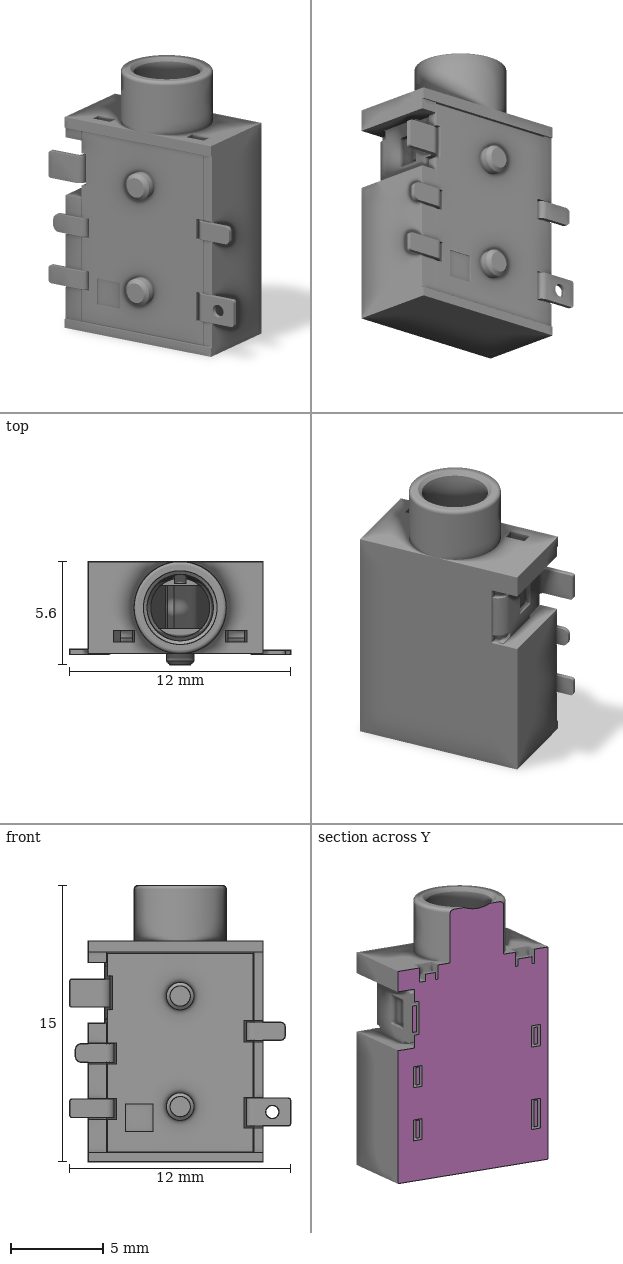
import cadquery as cq
import math


LEFT_X = -5.0
RIGHT_X = 4.5
BACK_Y = 2.5
FLANGE_Y = -2.5
FACE_Y = -2.4
HOUSING_TOP_Z = 12.0
TOP_FLANGE_Z = 11.4
BOTTOM_FLANGE_Z = 0.5

COVER_HALF_WIDTH = 3.95
COVER_BOTTOM_Z = 0.55
COVER_TOP_Z = 11.32
GROOVE_HALF_WIDTH = 4.0
GROOVE_DEPTH = 0.1
MARK_SIZE = 1.5
MARK_CENTER_X = -2.22
MARK_CENTER_Z = 2.4
MARK_DEPTH = 0.05

POST_RADIUS = 0.75
POST_TIP_Y = -3.1
POST_CHAMFER = 0.2
POST_HEIGHTS = (3.0, 9.0)

BARREL_RADIUS = 2.5
BARREL_TOP_Z = 15.0
BARREL_FILLET = 0.2
BORE_RADIUS = 1.8
BORE_CHAMFER = 0.2
BORE_END_Z = 10.9
BORE_END_RADIUS = 1.6
BORE_TAPER_Z = 11.6
CHAMBER_LEFT_X = -1.67
CHAMBER_RIGHT_X = 1.8
CHAMBER_FRONT_Y = -1.14
CHAMBER_BACK_Y = 1.2
CHAMBER_FLOOR_Z = 1.0
KEYWAY_WIDTH = 0.64
KEYWAY_FRONT_Y = 1.32
KEYWAY_END_Z = 9.0

CONTACT_PLATEAU_LEFT_X = -0.81
CONTACT_PLATEAU_RIGHT_X = 0.36
CONTACT_PLATEAU_Z = 4.0
CONTACT_RIB_LEFT_X = -0.69
CONTACT_RIB_RIGHT_X = -0.34
CONTACT_RIB_HEIGHT = 0.2
CONTACT_RAMP_X = 0.92
CONTACT_RAMP_ANGLE = math.radians(75)

WINDOW_CENTER_X = 3.04
WINDOW_WIDTH = 1.14
WINDOW_BACK_Y = -1.24
WINDOW_FRONT_Y = -1.86
WINDOW_DEPTH = 0.8
LEFT_PEG_RANGE = (-3.25, -2.6)
RIGHT_PEG_RANGE = (2.58, 3.5)
PEG_HEIGHT = 0.4
PEG_SLOPE_LENGTH = 0.4
PEG_SLOPE_DROP = 0.2

TERMINAL_FACE_Y = -2.55
TERMINAL_THICKNESS = 0.25
TERMINAL_LEG_X = 3.6
TERMINAL_BEND_RADIUS = 0.4
SLOT_INNER_X = 3.47
SLOT_FLOOR_Y = -1.5
HOLE_X = 5.0
HOLE_DIAMETER = 0.7
HOLED_TERMINAL = dict(side=1, tip=6.0, tip_radius=0.15, tab_z=(1.95, 3.47), slot_z=(1.85, 3.5))
TERMINALS = (
    dict(side=-1, tip=5.7, tip_radius=0.35, tab_z=(5.4, 6.42), slot_z=(5.3, 6.45)),
    dict(side=-1, tip=6.0, tip_radius=0.15, tab_z=(2.4, 3.42), slot_z=(2.3, 3.45)),
    dict(side=1, tip=5.7, tip_radius=0.25, tab_z=(6.6, 7.58), slot_z=(6.5, 7.67)),
    HOLED_TERMINAL,
)

NOTCH_BOTTOM_Z = 7.53
NOTCH_TOP_Z = 10.82
PLATE_X = -4.1
PLATE_THICKNESS = 0.3
PLATE_WIDE_Y = -0.92
PLATE_FRONT_Y = -1.67
PLATE_STEP = 0.19
PLATE_CORNER = 0.12
PLATE_BEND_RADIUS = 0.67
PLATE_BEND_Y = 1.69
PLATE_BEND_BOTTOM_Z = 7.95
PLATE_BEND_TOP_Z = 10.28
RELIEF_Y = 1.53
RELIEF_CORNER = 0.17
CORE_X = -3.95
CORE_BACK_Y = 2.02
CORE_RADIUS = 0.48
RELIEF_SILL = 0.06
COVER_EDGE_Y = -1.78

TAB_TIP_X = -6.0
TAB_BOTTOM_Z = 8.4
TAB_TOP_Z = 9.92
TAB_BEND_RADIUS = 0.5
TAB_CORNER = 0.12
TAB_SLOT_X = -3.67
TAB_SLOT_BOTTOM_Z = 8.26
TAB_SLOT_TOP_Z = 10.1

PLATE_WINDOW_FRONT_Y = -0.93
PLATE_WINDOW_BACK_Y = 0.34
PLATE_WINDOW_BOTTOM_Z = 8.36
PLATE_WINDOW_TOP_Z = 10.03
PLATE_WINDOW_CORNER = 0.1
PLATE_WINDOW_DEPTH = 0.3
CATCH_FRONT_Y = -0.88
CATCH_CREST_Y = -0.56
CATCH_BACK_Y = -0.2
CATCH_BOTTOM_Z = 8.6
CATCH_TOP_Z = 9.77
CATCH_HEIGHT = 0.1


def box(x_range, y_range, z_range):
    """Box between the given limits."""
    sizes = [limits[1] - limits[0] for limits in (x_range, y_range, z_range)]
    corner = (x_range[0], y_range[0], z_range[0])
    return cq.Workplane("XY").box(*sizes, centered=False).translate(corner)


def make_housing():
    body = box((LEFT_X, RIGHT_X), (FLANGE_Y, BACK_Y), (0, HOUSING_TOP_Z))
    face_step = box((LEFT_X, RIGHT_X), (FLANGE_Y, FACE_Y), (BOTTOM_FLANGE_Z, TOP_FLANGE_Z))
    return body.cut(face_step)


def make_cover_groove():
    y_range = (FACE_Y, FACE_Y + GROOVE_DEPTH)
    outer = box((-GROOVE_HALF_WIDTH, GROOVE_HALF_WIDTH), y_range, (BOTTOM_FLANGE_Z, TOP_FLANGE_Z))
    inner = box((-COVER_HALF_WIDTH, COVER_HALF_WIDTH), y_range, (COVER_BOTTOM_Z, COVER_TOP_Z))
    return outer.cut(inner)


def make_mark_recess():
    half = MARK_SIZE / 2
    return box(
        (MARK_CENTER_X - half, MARK_CENTER_X + half),
        (FACE_Y, FACE_Y + MARK_DEPTH),
        (MARK_CENTER_Z - half, MARK_CENTER_Z + half),
    )


def make_post(z):
    root_y = FACE_Y + GROOVE_DEPTH
    post = cq.Workplane("XZ").center(0, z).circle(POST_RADIUS).extrude(root_y - POST_TIP_Y)
    return post.faces("<Y").chamfer(POST_CHAMFER).translate((0, root_y, 0))


def make_barrel():
    height = BARREL_TOP_Z - HOUSING_TOP_Z
    barrel = cq.Workplane("XY").workplane(offset=HOUSING_TOP_Z).circle(BARREL_RADIUS).extrude(height)
    return barrel.faces(">Z").edges().fillet(BARREL_FILLET)


def make_plug_cavity():
    """Chamfered and tapered bore, keyway and the chamber below."""
    mouth_radius = BORE_RADIUS + BORE_CHAMFER
    profile = [
        (0, BORE_END_Z),
        (BORE_END_RADIUS, BORE_END_Z),
        (BORE_RADIUS, BORE_TAPER_Z),
        (BORE_RADIUS, BARREL_TOP_Z - BORE_CHAMFER),
        (mouth_radius, BARREL_TOP_Z),
        (0, BARREL_TOP_Z),
    ]
    bore = cq.Workplane("XZ").polyline(profile).close().revolve(360, (0, 0), (0, 1))
    chamber = box(
        (CHAMBER_LEFT_X, CHAMBER_RIGHT_X),
        (CHAMBER_FRONT_Y, CHAMBER_BACK_Y),
        (CHAMBER_FLOOR_Z, BORE_END_Z),
    )
    keyway = box(
        (-KEYWAY_WIDTH / 2, KEYWAY_WIDTH / 2),
        (KEYWAY_FRONT_Y, BORE_RADIUS),
        (KEYWAY_END_Z, BORE_TAPER_Z),
    )
    return bore.union(chamber).union(keyway)


def make_contact_spring():
    """Steep rise on the left, a ribbed level middle and a hollow bend into a steep ramp on the right."""
    bend_radius = (CONTACT_RAMP_X - CONTACT_PLATEAU_RIGHT_X) / math.sin(CONTACT_RAMP_ANGLE)
    half_angle = CONTACT_RAMP_ANGLE / 2
    bend_middle = (
        CONTACT_PLATEAU_RIGHT_X + bend_radius * math.sin(half_angle),
        CONTACT_PLATEAU_Z + bend_radius * (1 - math.cos(half_angle)),
    )
    ramp_z = CONTACT_PLATEAU_Z + bend_radius * (1 - math.cos(CONTACT_RAMP_ANGLE))
    ramp_rise = (CHAMBER_RIGHT_X - CONTACT_RAMP_X) * math.tan(CONTACT_RAMP_ANGLE)
    rib_z = CONTACT_PLATEAU_Z + CONTACT_RIB_HEIGHT
    sketch = (
        cq.Workplane("XZ")
        .moveTo(CHAMBER_LEFT_X, CHAMBER_FLOOR_Z)
        .lineTo(CONTACT_PLATEAU_LEFT_X, CONTACT_PLATEAU_Z)
        .lineTo(CONTACT_RIB_LEFT_X, CONTACT_PLATEAU_Z)
        .lineTo(CONTACT_RIB_LEFT_X, rib_z)
        .lineTo(CONTACT_RIB_RIGHT_X, rib_z)
        .lineTo(CONTACT_RIB_RIGHT_X, CONTACT_PLATEAU_Z)
        .lineTo(CONTACT_PLATEAU_RIGHT_X, CONTACT_PLATEAU_Z)
        .threePointArc(bend_middle, (CONTACT_RAMP_X, ramp_z))
        .lineTo(CHAMBER_RIGHT_X, ramp_z + ramp_rise)
        .lineTo(CHAMBER_RIGHT_X, CHAMBER_FLOOR_Z)
        .close()
    )
    return sketch.extrude(CHAMBER_FRONT_Y - CHAMBER_BACK_Y).translate((0, CHAMBER_FRONT_Y, 0))


def make_peg(x_range, floor_z):
    """Peg on a latch window floor; the back of its top slopes down."""
    top_z = floor_z + PEG_HEIGHT
    peg = box(x_range, (WINDOW_FRONT_Y, WINDOW_BACK_Y), (floor_z, top_z))
    slope = (
        cq.Workplane("YZ")
        .moveTo(WINDOW_BACK_Y, top_z)
        .lineTo(WINDOW_BACK_Y - PEG_SLOPE_LENGTH, top_z)
        .lineTo(WINDOW_BACK_Y, top_z - PEG_SLOPE_DROP)
        .close()
        .extrude(x_range[1] - x_range[0])
        .translate((x_range[0], 0, 0))
    )
    return peg.cut(slope)


def make_latch_window(center_x, peg_range):
    """Blind window in the top flange with a peg standing on its floor."""
    floor_z = HOUSING_TOP_Z - WINDOW_DEPTH
    window = box(
        (center_x - WINDOW_WIDTH / 2, center_x + WINDOW_WIDTH / 2),
        (WINDOW_FRONT_Y, WINDOW_BACK_Y),
        (floor_z, HOUSING_TOP_Z),
    )
    return window.cut(make_peg(peg_range, floor_z))


def make_bent_strip(leg_x, tip_x, bend_radius, thickness, leg_end_y, z_range):
    """L-shaped strip on the left side: a tab along X, a bend and a leg along +Y."""
    strip = (
        cq.Workplane("XY")
        .moveTo(tip_x, TERMINAL_FACE_Y)
        .lineTo(leg_x, TERMINAL_FACE_Y)
        .lineTo(leg_x, leg_end_y)
        .lineTo(leg_x - thickness, leg_end_y)
        .lineTo(leg_x - thickness, TERMINAL_FACE_Y + thickness)
        .lineTo(tip_x, TERMINAL_FACE_Y + thickness)
        .close()
        .extrude(z_range[1] - z_range[0])
        .translate((0, 0, z_range[0]))
    )
    middle_z = sum(z_range) / 2
    outer_corner = (leg_x, TERMINAL_FACE_Y, middle_z)
    inner_corner = (leg_x - thickness, TERMINAL_FACE_Y + thickness, middle_z)
    strip = strip.edges(cq.NearestToPointSelector(outer_corner)).fillet(bend_radius)
    return strip.edges(cq.NearestToPointSelector(inner_corner)).fillet(bend_radius - thickness)


def make_terminal(terminal):
    strip = make_bent_strip(
        -TERMINAL_LEG_X, -terminal["tip"], TERMINAL_BEND_RADIUS, TERMINAL_THICKNESS, SLOT_FLOOR_Y,
        terminal["tab_z"],
    )
    strip = strip.faces("<X").edges("|Y").fillet(terminal["tip_radius"])
    return strip if terminal["side"] < 0 else strip.mirror("YZ")


def make_terminal_slot(terminal):
    """Deep slot through the cover and a shallow channel out to the housing side."""
    z_range = terminal["slot_z"]
    channel_floor_y = TERMINAL_FACE_Y + TERMINAL_THICKNESS
    deep = box((-GROOVE_HALF_WIDTH, -SLOT_INNER_X), (FLANGE_Y, SLOT_FLOOR_Y), z_range)
    channel = box((LEFT_X, -GROOVE_HALF_WIDTH), (FLANGE_Y, channel_floor_y), z_range)
    slot = deep.union(channel)
    return slot if terminal["side"] < 0 else slot.mirror("YZ")


def make_terminal_hole():
    center_z = sum(HOLED_TERMINAL["tab_z"]) / 2
    hole = cq.Workplane("XZ").center(HOLE_X, center_z).circle(HOLE_DIAMETER / 2)
    return hole.extrude(-TERMINAL_FACE_Y)


def make_notch():
    """Side notch, deeper behind the plate and at the back corner, plus the cover slot for the tab."""
    z_range = (NOTCH_BOTTOM_Z, NOTCH_TOP_Z)
    bend_x = PLATE_X + PLATE_BEND_RADIUS
    front = box((LEFT_X, -COVER_HALF_WIDTH), (FACE_Y, COVER_EDGE_Y), z_range)
    side = box((LEFT_X, PLATE_X + PLATE_THICKNESS), (COVER_EDGE_Y, BACK_Y), z_range)
    back_corner = box((LEFT_X, bend_x), (RELIEF_Y, BACK_Y), z_range)
    core = box((CORE_X, bend_x), (RELIEF_Y, CORE_BACK_Y), z_range)
    core = core.edges("<X and >Y").fillet(CORE_RADIUS)
    tab_slot = box(
        (LEFT_X, TAB_SLOT_X), (FACE_Y, COVER_EDGE_Y), (TAB_SLOT_BOTTOM_Z, TAB_SLOT_TOP_Z)
    )
    return front.union(side).union(back_corner).cut(core).union(tab_slot)


def make_bend_relief(z_range):
    """Round-ended slot in the plate, open towards the back."""
    relief = box((PLATE_X, PLATE_X + PLATE_THICKNESS), (RELIEF_Y, BACK_Y), z_range)
    return relief.edges("<Y and |X").fillet(RELIEF_CORNER)


def make_switch_plate():
    """Plate along the notch floor, with its rounded back bend and its solder tab."""
    x_range = (PLATE_X, PLATE_X + PLATE_THICKNESS)
    bend_x = PLATE_X + PLATE_BEND_RADIUS
    bend_back_y = PLATE_BEND_Y + PLATE_BEND_RADIUS
    wide = box(x_range, (PLATE_WIDE_Y, bend_back_y), (NOTCH_BOTTOM_Z, NOTCH_TOP_Z))
    wide = wide.cut(make_bend_relief((PLATE_BEND_TOP_Z, NOTCH_TOP_Z)))
    wide = wide.cut(make_bend_relief((NOTCH_BOTTOM_Z + RELIEF_SILL, PLATE_BEND_BOTTOM_Z)))
    middle = box(
        x_range, (PLATE_FRONT_Y, PLATE_WIDE_Y), (NOTCH_BOTTOM_Z + PLATE_STEP, NOTCH_TOP_Z - PLATE_STEP)
    )
    middle = middle.edges("<Y and |X").fillet(PLATE_CORNER)
    bend_z_range = (PLATE_BEND_BOTTOM_Z, PLATE_BEND_TOP_Z)
    bend_corner = box((PLATE_X, bend_x), (PLATE_BEND_Y, bend_back_y), bend_z_range)
    bend_round = (
        cq.Workplane("XY")
        .center(bend_x, PLATE_BEND_Y)
        .circle(PLATE_BEND_RADIUS)
        .extrude(PLATE_BEND_TOP_Z - PLATE_BEND_BOTTOM_Z)
        .translate((0, 0, PLATE_BEND_BOTTOM_Z))
    )
    wide = wide.cut(bend_corner)
    bend = bend_corner.intersect(bend_round)
    tab = make_bent_strip(
        PLATE_X + PLATE_THICKNESS, TAB_TIP_X, TAB_BEND_RADIUS, PLATE_THICKNESS, PLATE_FRONT_Y,
        (TAB_BOTTOM_Z, TAB_TOP_Z),
    )
    tab = tab.faces("<X").edges("|Y").fillet(TAB_CORNER)
    return wide.union(middle).union(bend).union(tab)


def make_plate_window():
    """Rounded window through the plate, with a wedge-shaped catch on its floor."""
    floor_x = PLATE_X + PLATE_WINDOW_DEPTH
    window = box(
        (PLATE_X, floor_x),
        (PLATE_WINDOW_FRONT_Y, PLATE_WINDOW_BACK_Y),
        (PLATE_WINDOW_BOTTOM_Z, PLATE_WINDOW_TOP_Z),
    )
    window = window.edges("|X").fillet(PLATE_WINDOW_CORNER)
    catch = (
        cq.Workplane("XY")
        .moveTo(floor_x, CATCH_FRONT_Y)
        .lineTo(floor_x - CATCH_HEIGHT, CATCH_FRONT_Y)
        .lineTo(floor_x - CATCH_HEIGHT, CATCH_CREST_Y)
        .lineTo(floor_x, CATCH_BACK_Y)
        .close()
        .extrude(CATCH_TOP_Z - CATCH_BOTTOM_Z)
        .translate((0, 0, CATCH_BOTTOM_Z))
    )
    return window.cut(catch)


result = make_housing().cut(make_cover_groove()).cut(make_mark_recess())
for post_z in POST_HEIGHTS:
    result = result.union(make_post(post_z))

result = result.union(make_barrel()).cut(make_plug_cavity()).union(make_contact_spring())
result = result.cut(make_latch_window(-WINDOW_CENTER_X, LEFT_PEG_RANGE))
result = result.cut(make_latch_window(WINDOW_CENTER_X, RIGHT_PEG_RANGE))

for solder_terminal in TERMINALS:
    result = result.cut(make_terminal_slot(solder_terminal)).union(make_terminal(solder_terminal))
result = result.cut(make_terminal_hole())

result = result.cut(make_notch()).union(make_switch_plate()).cut(make_plate_window())